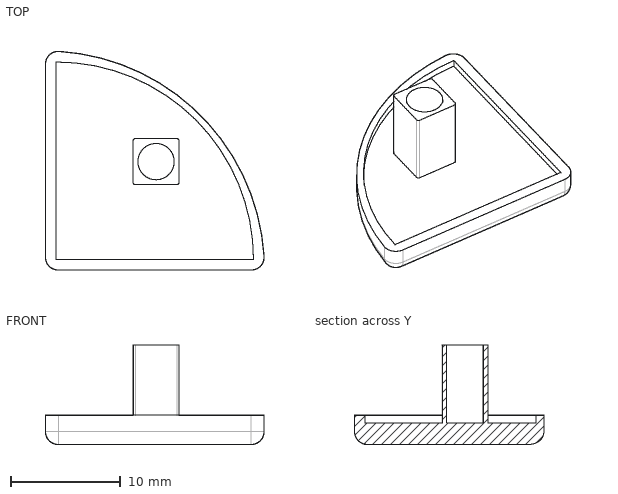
import cadquery as cq
import math

sector_radius = 20.0
tray_height = 2.7
edge_radius = 1.2
wall = 1.0
pocket_radius = 17.98
pocket_depth = 0.7

total_height = 9.1
post_x = 10.1
post_y = 9.9
post_width = 4.2
post_corner_radius = 0.2
hole_diameter = 3.31

floor_height = tray_height - pocket_depth


def quarter_sector(corner, radius, bottom, height):
    """Extrude a quarter disc whose square corner, and arc centre, is at (corner, corner)."""
    arc_middle = radius * math.sqrt(0.5)
    return (
        cq.Workplane("XY", origin=(corner, corner, bottom))
        .lineTo(radius, 0)
        .threePointArc((arc_middle, arc_middle), (0, radius))
        .close()
        .extrude(height)
    )


def make_tray():
    """Round the outer corners and the bottom rim, then sink the sharp-cornered pocket."""
    body = quarter_sector(0, sector_radius, 0, tray_height)
    body = body.edges("|Z").fillet(edge_radius)
    body = body.faces("<Z").edges().fillet(edge_radius)
    return body.cut(quarter_sector(wall, pocket_radius, floor_height, pocket_depth))


def make_post():
    """Build the post, its hole reaching down to the tray floor."""
    post_height = total_height - floor_height
    post = (
        cq.Workplane("XY", origin=(post_x, post_y, floor_height))
        .rect(post_width, post_width)
        .extrude(post_height)
        .edges("|Z")
        .fillet(post_corner_radius)
    )
    return post.faces(">Z").workplane().hole(hole_diameter, post_height)


result = make_tray().union(make_post())